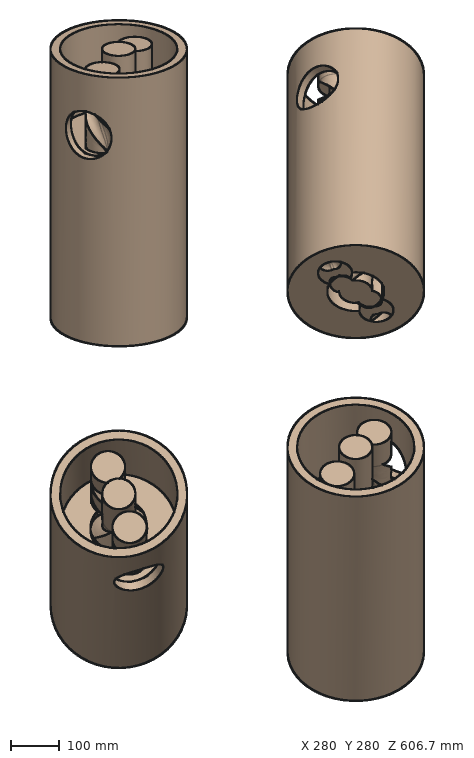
import cadquery as cq
import math


housing_diameter = 280.0
housing_height = 606.67
chamber_diameter = 240.0
port_diameter = 106.0
port_depth_below_rim = 137.5
port_height = housing_height - port_depth_below_rim
chamber_floor = port_height - port_diameter / 2

idler_diameter = 70.0
shaft_spacing = idler_diameter
drive_diameter = idler_diameter * 5 / 3
drive_shaft_diameter = 68.0
screw_lead = 2 * drive_diameter
thread_starts = 2

idler_end_gap = idler_diameter / 4
idler_top = housing_height - idler_end_gap
idler_shaft_length = 65.0
idler_thread_top = idler_top - idler_shaft_length
drive_nose_angle = math.radians(60.0)
drive_nose_depth_below_rim = 131.0
drive_nose_top = housing_height - drive_nose_depth_below_rim

idler_crest_half_angle = math.radians(49.0)
flank_backlash_angle = math.radians(0.5)
crest_clearance = 0.2
flank_steps = 4

drive_phase = math.radians(74.9)

half_pitch_angle = math.pi / thread_starts


def polar(radius, angle):
    return (radius * math.cos(angle), radius * math.sin(angle))


def generated_flank(mate_crest_radius, crest_radius):
    """Flank swept on one screw by the crest edge of its mate, as (radius, angle from root edge)."""
    end_turn = math.acos(
        (shaft_spacing**2 + mate_crest_radius**2 - crest_radius**2)
        / (2 * shaft_spacing * mate_crest_radius)
    )
    flank = []
    for step in range(flank_steps + 1):
        turn = end_turn * step / flank_steps
        axis_x, axis_y = polar(shaft_spacing, turn)
        edge_x, edge_y = polar(mate_crest_radius, 2 * turn)
        x = axis_x - edge_x
        y = axis_y - edge_y
        flank.append((math.hypot(x, y), abs(math.atan2(y, x))))
    return flank


def screw_section(flank, root_edge_angle, phase):
    """Closed outline of all starts; root_edge_angle runs from a crest centre to its root edge."""
    root_radius = flank[0][0]
    crest_radius = flank[-1][0]
    first_rising = [polar(r, phase - root_edge_angle + a) for r, a in flank]
    outline = cq.Workplane("XY").moveTo(*first_rising[-1])
    for start in range(thread_starts):
        crest_angle = phase + start * 2 * half_pitch_angle
        next_crest_angle = crest_angle + 2 * half_pitch_angle
        falling = [polar(r, crest_angle + root_edge_angle - a) for r, a in reversed(flank)]
        rising = [polar(r, next_crest_angle - root_edge_angle + a) for r, a in flank]
        outline = (
            outline.threePointArc(polar(crest_radius, crest_angle), falling[0])
            .spline(falling[1:], includeCurrent=True)
            .threePointArc(polar(root_radius, crest_angle + half_pitch_angle), rising[0])
            .spline(rising[1:], includeCurrent=True)
        )
    return outline.close()


def make_thread(section, length, hand):
    """Twist a section up from the bottom face; hand is +1 for right-hand and -1 for left-hand."""
    return section.twistExtrude(length, hand * 360 * length / screw_lead)


def rod(diameter, bottom, top):
    return cq.Workplane("XY").workplane(offset=bottom).circle(diameter / 2).extrude(top - bottom)


def make_housing():
    body = rod(housing_diameter, 0, housing_height)
    body = body.cut(rod(chamber_diameter, chamber_floor, housing_height))
    body = body.cut(rod(drive_diameter, 0, chamber_floor))
    for side in (-1, 1):
        body = body.cut(rod(idler_diameter, 0, chamber_floor).translate((0, side * shaft_spacing, 0)))
    port = cq.Workplane("XZ").center(0, port_height).circle(port_diameter / 2).extrude(housing_diameter / 2)
    return body.cut(port.cut(rod(chamber_diameter, 0, housing_height)))


def make_drive_screw():
    shaft_radius = drive_shaft_diameter / 2
    flank = generated_flank(idler_diameter / 2, drive_diameter / 2)
    flank = [(shaft_radius, 0)] + [(r - crest_clearance, a) for r, a in flank[1:]]
    root_edge_angle = half_pitch_angle - idler_crest_half_angle - flank_backlash_angle
    thread = make_thread(screw_section(flank, root_edge_angle, drive_phase), drive_nose_top, 1)

    bore_radius = drive_diameter / 2
    nose_base = drive_nose_top - (bore_radius - shaft_radius) * math.tan(drive_nose_angle)
    nose_envelope = (
        cq.Workplane("XZ")
        .lineTo(bore_radius, 0)
        .lineTo(bore_radius, nose_base)
        .lineTo(shaft_radius, drive_nose_top)
        .lineTo(0, drive_nose_top)
        .close()
        .revolve()
    )
    thread = thread.intersect(nose_envelope)
    return thread.union(rod(drive_shaft_diameter, drive_nose_top, housing_height))


def make_idler(side):
    flank = generated_flank(drive_diameter / 2, idler_diameter / 2)
    root_edge_angle = idler_crest_half_angle + flank[-1][1]
    phase = half_pitch_angle - drive_phase + math.pi
    thread = make_thread(screw_section(flank, root_edge_angle, phase), idler_thread_top, -1)
    idler = thread.union(rod(idler_diameter, idler_thread_top, idler_top))
    return idler.translate((0, side * shaft_spacing, 0))


housing = make_housing()
drive_screw = make_drive_screw()
idlers = [make_idler(side) for side in (-1, 1)]

result = cq.Compound.makeCompound([housing.val(), drive_screw.val(), *[idler.val() for idler in idlers]])